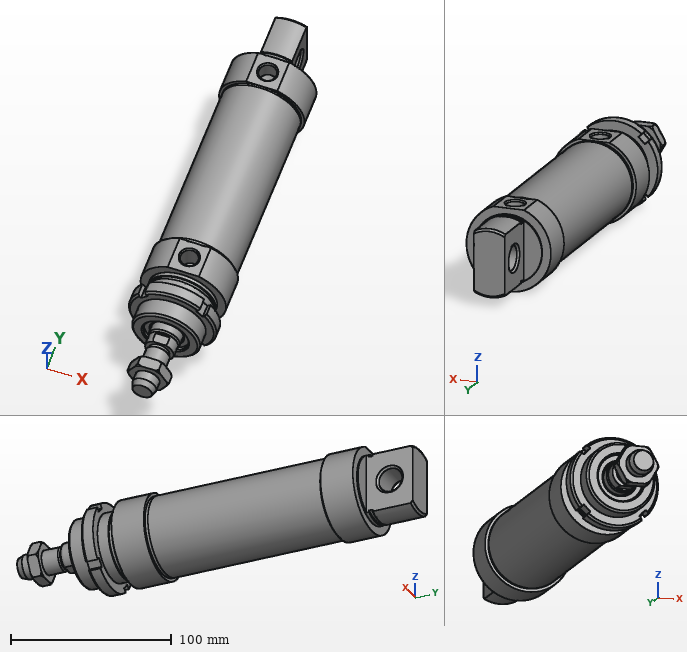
import cadquery as cq
import math


OVERALL_LENGTH = 275.0
NOSE_FACE_Y = 42.5
FRONT_CAP_Y = 75.5
BARREL_FRONT_Y = 99.8
BARREL_REAR_Y = 218.5
REAR_CAP_Y = 242.3

BARREL_DIAMETER = 52.5
CAP_DIAMETER = 56.6
CAP_LENGTH = 22.3
PORT_FLAT_WIDTH = 20.5
PORT_FLAT_HEIGHT = math.sqrt((CAP_DIAMETER / 2) ** 2 - (PORT_FLAT_WIDTH / 2) ** 2)
NECK_DIAMETER = 45.0
NECK_CHAMFER = 1.5
GROOVE_DIAMETER = 43.0
GROOVE_WIDTH = 2.5
GROOVE_OFFSET = 2.5
NOSE_RECESS_DIAMETER = 30.0
NOSE_RECESS_DEPTH = 2.8
NOSE_RECESS_CHAMFER = 0.8
ROD_BORE_CHAMFER = 1.0

PORT_DIAMETER = 11.5
PORT_CHAMFER = 0.95
PORT_CENTRE_OFFSET = 11.3
PORT_DEPTH = 12.5
DRILL_POINT_ANGLE = 118.0

TANG_THICKNESS = 20.5
TANG_BASE_THICKNESS = 0.8
PIN_HOLE_DIAMETER = 16.0
PIN_HOLE_CHAMFER = 1.5
PIN_HOLE_FROM_END = 16.0

ROD_DIAMETER = 19.5
COLLAR_DIAMETER = 21.0
COLLAR_FRONT_Y = 40.5
COLLAR_TAPER = 1.5
ROD_SHOULDER_Y = 31.5
ROD_END_DIAMETER = 19.0
ROD_END_TAPER = 1.6
THREAD_DIAMETER = 16.0
THREAD_END_Y = 29.0
THREAD_TIP_DIAMETER = 13.0
THREAD_TIP_LENGTH = 4.0
UNDERCUT_DIAMETER = 13.5
UNDERCUT_TAPER = 0.8
WRENCH_FLAT_WIDTH = 17.0
WRENCH_FLAT_LENGTH = 6.3

NUT_ACROSS_FLATS = 24.0
NUT_FRONT_Y = 10.2
NUT_THICKNESS = 7.5
NUT_CHAMFER = 1.0

RING_DIAMETER = 58.0
RING_FRONT_Y = 54.7
RING_THICKNESS = 8.5
RING_CHAMFER = 1.5
RING_SLOT_COUNT = 4
RING_SLOT_WIDTH = 6.0
RING_SLOT_RADIUS = 25.8


def cylinder(diameter, start_y, length):
    """Solid cylinder on the Y axis, from start_y towards +Y."""
    return cq.Workplane("XZ", origin=(0, start_y, 0)).circle(diameter / 2).extrude(-length)


def box(size_x, size_y, size_z, centre):
    return cq.Workplane("XY").box(size_x, size_y, size_z).translate(centre)


def turned(profile):
    """Revolve a (radius, Y) profile around the Y axis."""
    return cq.Workplane("XY").polyline(profile).close().revolve(360, (0, 0, 0), (0, 1, 0))


def cap_body(start_y):
    """Cap cylinder with the flat port face on top."""
    body = cylinder(CAP_DIAMETER, start_y, CAP_LENGTH)
    centre = (0, start_y + CAP_LENGTH / 2, PORT_FLAT_HEIGHT - CAP_DIAMETER)
    return body.intersect(box(2 * CAP_DIAMETER, CAP_LENGTH, 2 * CAP_DIAMETER, centre))


def port_cutter(centre_y, depth):
    """Drilled port with a chamfered mouth and a conical bottom, down from the flat."""
    radius = PORT_DIAMETER / 2
    point_length = radius / math.tan(math.radians(DRILL_POINT_ANGLE / 2))
    profile = [
        (0, 0),
        (radius + PORT_CHAMFER, 0),
        (radius, -PORT_CHAMFER),
        (radius, -depth),
        (0, -depth - point_length),
    ]
    cutter = cq.Workplane("XZ").polyline(profile).close().revolve(360, (0, 0, 0), (0, 1, 0))
    return cutter.translate((0, centre_y, PORT_FLAT_HEIGHT))


def make_rod():
    thread = THREAD_DIAMETER / 2
    undercut = UNDERCUT_DIAMETER / 2
    rod = ROD_DIAMETER / 2
    collar = COLLAR_DIAMETER / 2
    body = turned([
        (0, 0),
        (THREAD_TIP_DIAMETER / 2, 0),
        (thread, THREAD_TIP_LENGTH),
        (thread, THREAD_END_Y),
        (undercut, THREAD_END_Y + UNDERCUT_TAPER),
        (undercut, ROD_SHOULDER_Y),
        (ROD_END_DIAMETER / 2, ROD_SHOULDER_Y),
        (rod, ROD_SHOULDER_Y + ROD_END_TAPER),
        (rod, COLLAR_FRONT_Y - COLLAR_TAPER),
        (collar, COLLAR_FRONT_Y),
        (collar, BARREL_FRONT_Y),
        (0, BARREL_FRONT_Y),
    ])
    flat_y = ROD_SHOULDER_Y + WRENCH_FLAT_LENGTH / 2
    for side in (1, -1):
        centre_z = side * (WRENCH_FLAT_WIDTH + ROD_DIAMETER) / 2
        body = body.cut(box(ROD_DIAMETER, WRENCH_FLAT_LENGTH, ROD_DIAMETER, (0, flat_y, centre_z)))
    return body


def make_rod_nut():
    corner_diameter = NUT_ACROSS_FLATS / math.cos(math.pi / 6)
    nut = (
        cq.Workplane("XZ", origin=(0, NUT_FRONT_Y, 0))
        .polygon(6, corner_diameter)
        .extrude(-NUT_THICKNESS)
    )
    rounded = cylinder(corner_diameter, NUT_FRONT_Y, NUT_THICKNESS).edges("%CIRCLE").chamfer(NUT_CHAMFER)
    return nut.intersect(rounded).cut(cylinder(THREAD_DIAMETER, NUT_FRONT_Y, NUT_THICKNESS))


def make_ring_nut():
    ring = cylinder(RING_DIAMETER, RING_FRONT_Y, RING_THICKNESS).faces("<Y").edges().chamfer(RING_CHAMFER)
    slot_depth = RING_DIAMETER / 2
    slot_centre = (RING_SLOT_RADIUS + slot_depth / 2, RING_FRONT_Y + RING_THICKNESS / 2, 0)
    slot = box(slot_depth, RING_THICKNESS, RING_SLOT_WIDTH, slot_centre)
    for index in range(RING_SLOT_COUNT):
        angle = (index + 0.5) * 360 / RING_SLOT_COUNT
        ring = ring.cut(slot.rotate((0, 0, 0), (0, 1, 0), angle))
    return ring.cut(cylinder(NECK_DIAMETER, RING_FRONT_Y, RING_THICKNESS))


def make_front_cap():
    neck = NECK_DIAMETER / 2
    groove = GROOVE_DIAMETER / 2
    groove_rear_y = FRONT_CAP_Y - GROOVE_OFFSET
    groove_front_y = groove_rear_y - GROOVE_WIDTH
    nose = turned([
        (0, NOSE_FACE_Y),
        (neck - NECK_CHAMFER, NOSE_FACE_Y),
        (neck, NOSE_FACE_Y + NECK_CHAMFER),
        (neck, groove_front_y),
        (groove, groove_front_y),
        (groove, groove_rear_y),
        (neck, groove_rear_y),
        (neck, FRONT_CAP_Y),
        (0, FRONT_CAP_Y),
    ])
    shoulder_y = FRONT_CAP_Y + CAP_LENGTH
    shoulder = cylinder(BARREL_DIAMETER, shoulder_y, BARREL_FRONT_Y - shoulder_y)
    recess = NOSE_RECESS_DIAMETER / 2
    rod_bore = COLLAR_DIAMETER / 2
    recess_floor_y = NOSE_FACE_Y + NOSE_RECESS_DEPTH
    bore_cutter = turned([
        (0, NOSE_FACE_Y),
        (recess + NOSE_RECESS_CHAMFER, NOSE_FACE_Y),
        (recess, NOSE_FACE_Y + NOSE_RECESS_CHAMFER),
        (recess, recess_floor_y),
        (rod_bore + ROD_BORE_CHAMFER, recess_floor_y),
        (rod_bore, recess_floor_y + ROD_BORE_CHAMFER),
        (rod_bore, BARREL_FRONT_Y),
        (0, BARREL_FRONT_Y),
    ])
    port = port_cutter(FRONT_CAP_Y + PORT_CENTRE_OFFSET, PORT_FLAT_HEIGHT - COLLAR_DIAMETER / 4)
    cap = nose.union(cap_body(FRONT_CAP_Y)).union(shoulder)
    return cap.cut(bore_cutter).cut(port)


def pin_hole_cutter():
    """Through hole along X, chamfered on both faces of the tang."""
    radius = PIN_HOLE_DIAMETER / 2
    mouth = radius + PIN_HOLE_CHAMFER
    face = TANG_THICKNESS / 2
    profile = [
        (-face, 0),
        (-face, mouth),
        (-face + PIN_HOLE_CHAMFER, radius),
        (face - PIN_HOLE_CHAMFER, radius),
        (face, mouth),
        (face, 0),
    ]
    cutter = cq.Workplane("XY").polyline(profile).close().revolve(360, (0, 0, 0), (1, 0, 0))
    return cutter.translate((0, OVERALL_LENGTH - PIN_HOLE_FROM_END, 0))


def make_rear_cap():
    neck = NECK_DIAMETER / 2
    groove = GROOVE_DIAMETER / 2
    groove_front_y = REAR_CAP_Y + GROOVE_OFFSET
    groove_rear_y = groove_front_y + GROOVE_WIDTH
    tang = turned([
        (0, REAR_CAP_Y),
        (neck, REAR_CAP_Y),
        (neck, groove_front_y),
        (groove, groove_front_y),
        (groove, groove_rear_y),
        (neck, groove_rear_y),
        (neck, OVERALL_LENGTH - NECK_CHAMFER),
        (neck - NECK_CHAMFER, OVERALL_LENGTH),
        (0, OVERALL_LENGTH),
    ])
    tang_length = OVERALL_LENGTH - REAR_CAP_Y
    tang = tang.intersect(
        box(TANG_THICKNESS, tang_length, NECK_DIAMETER, (0, REAR_CAP_Y + tang_length / 2, 0))
    )
    tang = tang.cut(pin_hole_cutter())
    tang_base = cylinder(NECK_DIAMETER, REAR_CAP_Y, TANG_BASE_THICKNESS)
    cap_front_y = REAR_CAP_Y - CAP_LENGTH
    shoulder = cylinder(BARREL_DIAMETER, BARREL_REAR_Y, cap_front_y - BARREL_REAR_Y)
    cap = cap_body(cap_front_y).union(shoulder).union(tang_base).union(tang)
    return cap.cut(port_cutter(REAR_CAP_Y - PORT_CENTRE_OFFSET, PORT_DEPTH))


rod = make_rod()
rod_nut = make_rod_nut()
ring_nut = make_ring_nut()
front_cap = make_front_cap()
barrel = cylinder(BARREL_DIAMETER, BARREL_FRONT_Y, BARREL_REAR_Y - BARREL_FRONT_Y)
rear_cap = make_rear_cap()

result = cq.Compound.makeCompound([
    rod.val(),
    rod_nut.val(),
    ring_nut.val(),
    front_cap.val(),
    barrel.val(),
    rear_cap.val(),
])